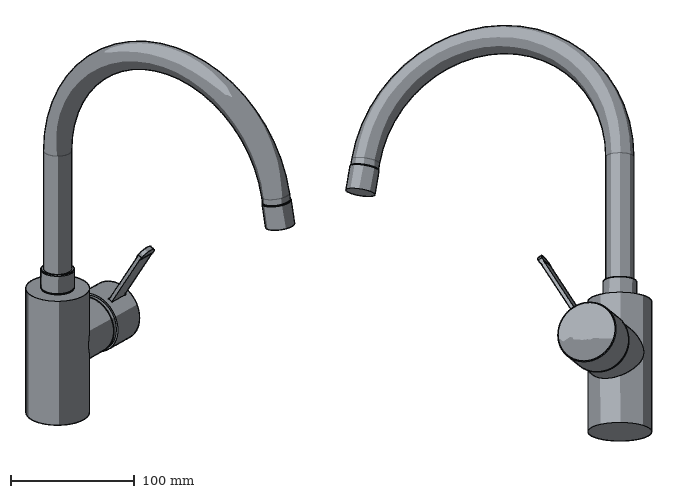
import cadquery as cq
import math

HOUSING_DIAMETER = 51.5
HOUSING_HEIGHT = 110.0
BRANCH_DIAMETER = 48.0
BRANCH_HEIGHT = 62.0
BRANCH_REACH = 44.2
NECK_DIAMETER = 47.0
NECK_LENGTH = 4.0

COLLAR_DIAMETER = 27.5
COLLAR_HEIGHT = 17.3
COLLAR_CHAMFER = 0.7
COLLAR_FOOT_DIAMETER = 26.5
COLLAR_FOOT_HEIGHT = 1.0

SPOUT_DIAMETER = 23.0
BEND_RADIUS = 110.0
BEND_SWEEP = 170
OVERALL_HEIGHT = 353.5
SPOUT_END_LENGTH = 5.3

AERATOR_DIAMETER = 24.0
AERATOR_LENGTH = 20.0
AERATOR_NECK_DIAMETER = 21.5
AERATOR_NECK_LENGTH = 0.7

KNOB_DIAMETER = 50.2
KNOB_LENGTH = 30.5
RIM_CHAMFER = 0.7
DOME_HEIGHT = 4.0

LEVER_TILT = 32
LEVER_WIDTH = 17.5
LEVER_THICKNESS = 3.2
LEVER_TIP_THICKNESS = 4.0
LEVER_TIP_LENGTH = 7.8
LEVER_END_RISE = 5.0
LEVER_REACH = 85.0
SLOT_WIDTH = 19.0
SLOT_THICKNESS = 4.2
SLOT_FLOOR = 21.2

NECK_END = BRANCH_REACH + NECK_LENGTH
COLLAR_TOP = HOUSING_HEIGHT + COLLAR_HEIGHT
BEND_HEIGHT = OVERALL_HEIGHT - SPOUT_DIAMETER / 2 - BEND_RADIUS
LEVER_Y = NECK_END + KNOB_LENGTH / 2


def cylinder_z(diameter, bottom, height):
    """Vertical cylinder on the housing axis."""
    return cq.Workplane("XY").workplane(offset=bottom).circle(diameter / 2).extrude(height)


def make_base():
    """Upright housing and its side branch, with a narrower neck for the knob."""
    branch_plane = cq.Workplane("XZ").center(0, BRANCH_HEIGHT)
    branch = branch_plane.circle(BRANCH_DIAMETER / 2).extrude(-BRANCH_REACH)
    neck = branch_plane.circle(NECK_DIAMETER / 2).extrude(-NECK_END)
    return cylinder_z(HOUSING_DIAMETER, 0, HOUSING_HEIGHT).union(branch).union(neck)


def make_collar():
    """Collar with a chamfered top rim and a narrower foot."""
    foot = cylinder_z(COLLAR_FOOT_DIAMETER, HOUSING_HEIGHT, COLLAR_FOOT_HEIGHT)
    sleeve_height = COLLAR_HEIGHT - COLLAR_FOOT_HEIGHT
    sleeve = cylinder_z(COLLAR_DIAMETER, HOUSING_HEIGHT + COLLAR_FOOT_HEIGHT, sleeve_height)
    return sleeve.faces(">Z").edges().chamfer(COLLAR_CHAMFER).union(foot)


def bend_point(sweep):
    """Point of the bend centreline, as (x, z), after the given sweep in degrees."""
    angle = math.radians(180 - sweep)
    return (BEND_RADIUS * (1 + math.cos(angle)), BEND_HEIGHT + BEND_RADIUS * math.sin(angle))


def spout_end_plane(distance):
    """Plane across the spout axis, at a distance beyond the end of the bend."""
    tilt = math.radians(180 - BEND_SWEEP)
    along_x = math.sin(tilt)
    along_z = -math.cos(tilt)
    end_x, end_z = bend_point(BEND_SWEEP)
    origin = (end_x + distance * along_x, 0, end_z + distance * along_z)
    return cq.Plane(origin=origin, xDir=(0, 1, 0), normal=(along_x, 0, along_z))


def make_spout():
    """Straight riser, circular bend and short straight end."""
    end = spout_end_plane(SPOUT_END_LENGTH).origin
    centreline = (
        cq.Workplane("XZ")
        .moveTo(0, COLLAR_TOP)
        .lineTo(0, BEND_HEIGHT)
        .threePointArc(bend_point(BEND_SWEEP / 2), bend_point(BEND_SWEEP))
        .lineTo(end.x, end.z)
    )
    profile = cq.Workplane("XY").workplane(offset=COLLAR_TOP).circle(SPOUT_DIAMETER / 2)
    return profile.sweep(centreline)


def make_aerator():
    """Outlet sleeve joined to the spout end by a narrower neck."""
    neck_plane = spout_end_plane(SPOUT_END_LENGTH)
    sleeve_plane = spout_end_plane(SPOUT_END_LENGTH + AERATOR_NECK_LENGTH)
    neck = cq.Workplane(neck_plane).circle(AERATOR_NECK_DIAMETER / 2).extrude(AERATOR_NECK_LENGTH)
    sleeve = cq.Workplane(sleeve_plane).circle(AERATOR_DIAMETER / 2).extrude(AERATOR_LENGTH)
    return sleeve.union(neck)


def lever_plane():
    """Plane with its origin on the knob axis, X along the branch and Y along the lever."""
    tilt = math.radians(LEVER_TILT)
    return cq.Plane(
        origin=(0, LEVER_Y, BRANCH_HEIGHT),
        xDir=(0, 1, 0),
        normal=(math.cos(tilt), 0, -math.sin(tilt)),
    )


def make_knob():
    """Cylindrical knob with a chamfered rim, a shallow domed end and a slot for the lever."""
    radius = KNOB_DIAMETER / 2
    rim_y = NECK_END + KNOB_LENGTH
    dome_edge = radius - RIM_CHAMFER
    dome_radius = (dome_edge**2 + DOME_HEIGHT**2) / (2 * DOME_HEIGHT)
    half_angle = math.asin(dome_edge / dome_radius) / 2
    dome_mid = (
        dome_radius * math.sin(half_angle),
        rim_y + DOME_HEIGHT - dome_radius * (1 - math.cos(half_angle)),
    )
    knob = (
        cq.Workplane("XY")
        .moveTo(0, NECK_END)
        .lineTo(radius, NECK_END)
        .lineTo(radius, rim_y - RIM_CHAMFER)
        .lineTo(dome_edge, rim_y)
        .threePointArc(dome_mid, (0, rim_y + DOME_HEIGHT))
        .close()
        .revolve(360, (0, 0, 0), (0, 1, 0))
        .translate((0, 0, BRANCH_HEIGHT))
    )
    slot_height = radius
    slot = (
        cq.Workplane(lever_plane())
        .center(0, SLOT_FLOOR + slot_height / 2)
        .rect(SLOT_WIDTH, slot_height)
        .extrude(SLOT_THICKNESS / 2, both=True)
    )
    return knob.cut(slot)


def make_lever():
    """Flat blade standing on the slot floor, with a thicker rounded tip."""
    half_width = LEVER_WIDTH / 2
    tip_start = LEVER_REACH - LEVER_TIP_LENGTH
    shoulder = LEVER_REACH - LEVER_END_RISE
    blade_length = tip_start - SLOT_FLOOR
    blade = (
        cq.Workplane(lever_plane())
        .center(0, SLOT_FLOOR + blade_length / 2)
        .rect(LEVER_WIDTH, blade_length)
        .extrude(LEVER_THICKNESS / 2, both=True)
    )
    tip = (
        cq.Workplane(lever_plane())
        .moveTo(-half_width, tip_start)
        .lineTo(half_width, tip_start)
        .lineTo(half_width, shoulder)
        .threePointArc((0, LEVER_REACH), (-half_width, shoulder))
        .close()
        .extrude(LEVER_TIP_THICKNESS / 2, both=True)
    )
    return blade.union(tip)


base = make_base()
collar = make_collar()
spout = make_spout()
aerator = make_aerator()
knob = make_knob()
lever = make_lever()

result = cq.Compound.makeCompound(
    [base.val(), collar.val(), spout.val(), aerator.val(), knob.val(), lever.val()]
)